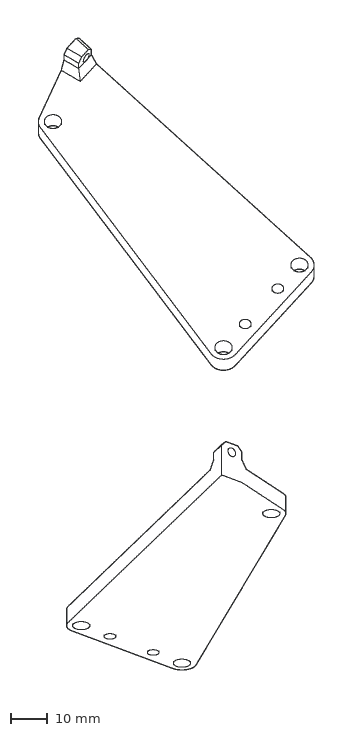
import cadquery as cq
import math

PLATE_THICKNESS = 5.0
CORNER_RADIUS = 4.0
MOUNT_HOLE_DIAMETER = 4.7
MOUNT_SPACING_X = 83.1
MOUNT_SPACING_Y = 35.0
SMALL_HOLE_DIAMETER = 3.2
SMALL_HOLE_INSET = 10.0

OVERALL_LENGTH = 96.25
OVERALL_WIDTH = 63.5
OVERALL_HEIGHT = 10.81

LUG_THICKNESS = 5.0
LUG_WIDTH = 7.0
LUG_CHAMFER = 1.4
LUG_HOLE_DIAMETER = 2.6
LUG_HOLE_DROP = 2.65
RAMP_SIZE = 2.05
RAMP_ANGLE = 45.0

upper_right = (0.0, 0.0)
lower_right = (0.0, -MOUNT_SPACING_Y)
left_mount = (-MOUNT_SPACING_X, 0.0)
left_x = CORNER_RADIUS - OVERALL_LENGTH
tip_y = OVERALL_WIDTH - MOUNT_SPACING_Y - CORNER_RADIUS
lug_front_y = tip_y - LUG_WIDTH
lug_right_x = left_x + LUG_THICKNESS
tip = (left_x, tip_y)
left_edge_foot = (left_x, lug_front_y)


def on_corner(center, angle):
    """Point on the rounded corner about center, at an angle in radians."""
    return (
        center[0] + CORNER_RADIUS * math.cos(angle),
        center[1] + CORNER_RADIUS * math.sin(angle),
    )


def tangent_angle(point, center, side):
    """Angle at which a line from point touches the corner; side is +1 or -1."""
    dx = point[0] - center[0]
    dy = point[1] - center[1]
    return math.atan2(dy, dx) + side * math.acos(CORNER_RADIUS / math.hypot(dx, dy))


back_normal = tangent_angle(tip, upper_right, -1)
left_normal = tangent_angle(left_edge_foot, left_mount, 1)
front_normal = math.atan2(-MOUNT_SPACING_Y, MOUNT_SPACING_X) - math.pi / 2


def make_outline():
    """Plate outline: a sharp tip at the lug and three rounded corners."""
    left_middle = (left_normal + front_normal + 2 * math.pi) / 2
    return (
        cq.Workplane("XY")
        .moveTo(*tip)
        .lineTo(*left_edge_foot)
        .lineTo(*on_corner(left_mount, left_normal))
        .threePointArc(on_corner(left_mount, left_middle), on_corner(left_mount, front_normal))
        .lineTo(*on_corner(lower_right, front_normal))
        .threePointArc(on_corner(lower_right, front_normal / 2), on_corner(lower_right, 0))
        .lineTo(*on_corner(upper_right, 0))
        .threePointArc(on_corner(upper_right, back_normal / 2), on_corner(upper_right, back_normal))
        .close()
    )


def make_lug():
    """Upright lug with sloping back, chamfered along its front and back top edges."""
    back_slope = -1 / math.tan(back_normal)
    back_right_y = tip_y + back_slope * LUG_THICKNESS
    return (
        cq.Workplane("XY")
        .polyline([tip, left_edge_foot, (lug_right_x, lug_front_y), (lug_right_x, back_right_y)])
        .close()
        .extrude(OVERALL_HEIGHT)
        .faces(">Z")
        .edges("not |Y")
        .chamfer(LUG_CHAMFER)
    )


def make_ramp():
    """Sloping skirt around the foot of the lug, trimmed to the plate outline."""
    length = LUG_THICKNESS + RAMP_SIZE
    width = LUG_WIDTH + RAMP_SIZE
    skirt = (
        cq.Workplane("XY", origin=(left_x, tip_y, PLATE_THICKNESS))
        .rect(2 * length, 2 * width)
        .extrude(RAMP_SIZE, taper=RAMP_ANGLE)
    )
    return skirt.intersect(make_outline().extrude(OVERALL_HEIGHT))


def make_holes(centers, diameter):
    """Vertical through holes."""
    return cq.Workplane("XY").pushPoints(centers).circle(diameter / 2).extrude(PLATE_THICKNESS)


def make_lug_hole():
    """Hole through the thickness of the lug."""
    center = (left_x, tip_y - LUG_WIDTH / 2, OVERALL_HEIGHT - LUG_HOLE_DROP)
    return cq.Workplane("YZ", origin=center).circle(LUG_HOLE_DIAMETER / 2).extrude(LUG_THICKNESS)


small_hole_centers = [(0.0, -SMALL_HOLE_INSET), (0.0, SMALL_HOLE_INSET - MOUNT_SPACING_Y)]

plate = make_outline().extrude(PLATE_THICKNESS)
result = (
    plate.union(make_ramp())
    .union(make_lug())
    .cut(make_holes([upper_right, lower_right, left_mount], MOUNT_HOLE_DIAMETER))
    .cut(make_holes(small_hole_centers, SMALL_HOLE_DIAMETER))
    .cut(make_lug_hole())
)